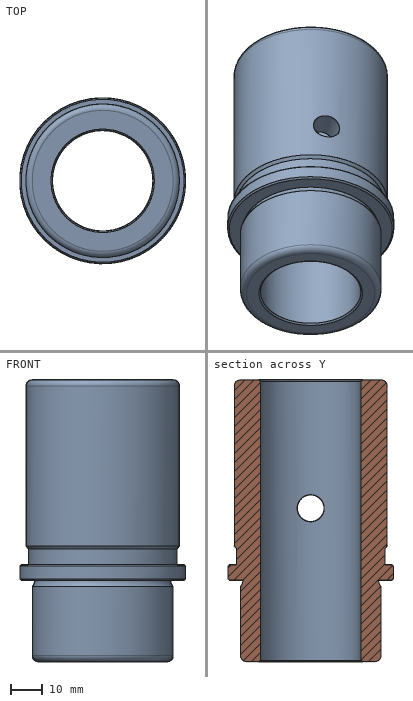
import cadquery as cq
import math

length = 90.0
bore_radius = 16.0
bore_chamfer = 0.5

shank_radius = 22.5
shank_round = 2.0

relief_height = 2.0
relief_depth = 0.75
relief_arc_radius = (relief_height**2 + relief_depth**2) / (2 * relief_depth)

collar_radius = 26.5
collar_bottom = 26.0
collar_thickness = 5.0
collar_chamfer = 0.5
collar_top = collar_bottom + collar_thickness

neck_radius = 23.75
neck_height = 5.0
neck_top = collar_top + neck_height

barrel_radius = 24.5
barrel_cone_height = 1.0
barrel_round = 2.0
barrel_bottom = neck_top + barrel_cone_height

side_hole_diameter = 8.5
side_hole_height = 49.0


def revolve_about_z(profile):
    """Turn a closed (radius, height) profile a full circle about the Z axis."""
    return profile.revolve(360, (0, 0), (0, 1))


def round_middle(radius, end_height, size, direction):
    """Midpoint of a quarter round at an end facing up (+1) or down (-1)."""
    inset = size * (1 - math.sqrt(0.5))
    return (radius - inset, end_height - direction * inset)


def relief_middle():
    """Midpoint of the relief arc, whose center is level with the collar's lower face."""
    center_radius = shank_radius - relief_depth + relief_arc_radius
    half_angle = math.asin(relief_height / relief_arc_radius) / 2
    return (
        center_radius - relief_arc_radius * math.cos(half_angle),
        collar_bottom - relief_arc_radius * math.sin(half_angle),
    )


def outer_body():
    """Solid stepped body with shank, collar, neck and barrel."""
    shank_end_middle = round_middle(shank_radius, 0, shank_round, -1)
    barrel_end_middle = round_middle(barrel_radius, length, barrel_round, 1)
    profile = (
        cq.Workplane("XZ")
        .lineTo(shank_radius - shank_round, 0)
        .threePointArc(shank_end_middle, (shank_radius, shank_round))
        .lineTo(shank_radius, collar_bottom - relief_height)
        .threePointArc(relief_middle(), (shank_radius - relief_depth, collar_bottom))
        .lineTo(collar_radius - collar_chamfer, collar_bottom)
        .lineTo(collar_radius, collar_bottom + collar_chamfer)
        .lineTo(collar_radius, collar_top - collar_chamfer)
        .lineTo(collar_radius - collar_chamfer, collar_top)
        .lineTo(neck_radius, collar_top)
        .lineTo(neck_radius, neck_top)
        .lineTo(barrel_radius, barrel_bottom)
        .lineTo(barrel_radius, length - barrel_round)
        .threePointArc(barrel_end_middle, (barrel_radius - barrel_round, length))
        .lineTo(0, length)
        .close()
    )
    return revolve_about_z(profile)


def bore():
    """Through bore with a chamfered mouth at each end."""
    mouth_radius = bore_radius + bore_chamfer
    profile = (
        cq.Workplane("XZ")
        .lineTo(mouth_radius, 0)
        .lineTo(bore_radius, bore_chamfer)
        .lineTo(bore_radius, length - bore_chamfer)
        .lineTo(mouth_radius, length)
        .lineTo(0, length)
        .close()
    )
    return revolve_about_z(profile)


def side_hole():
    """Cylinder from the part axis out past the barrel wall toward +Y."""
    return (
        cq.Workplane("XZ")
        .center(0, side_hole_height)
        .circle(side_hole_diameter / 2)
        .extrude(-collar_radius)
    )


result = outer_body().cut(bore()).cut(side_hole())